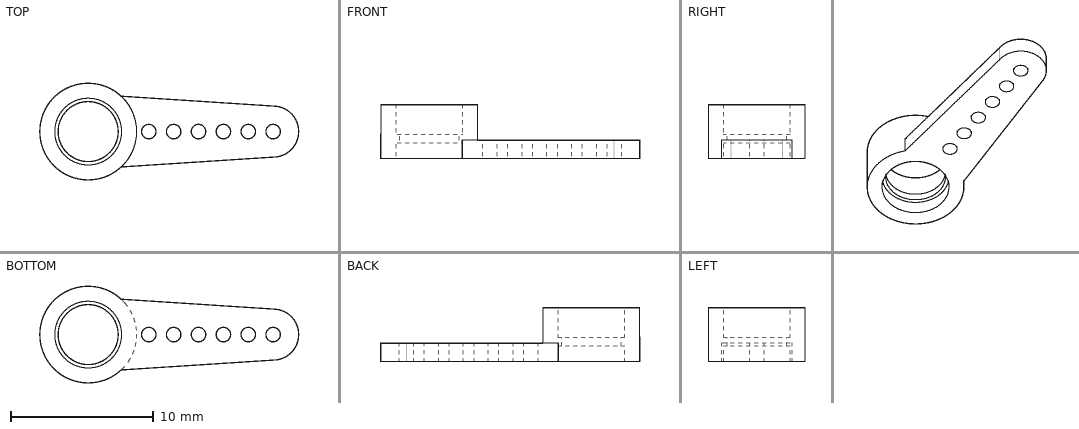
import cadquery as cq

hub_diameter = 6.8
hub_height = 3.8
bore_diameter = 4.2
counterbore_diameter = 4.7
top_counterbore_depth = 2.1
web_thickness = 0.6

overall_length = 18.2
arm_thickness = 1.31
tip_radius = 1.8
root_x = 2.33
root_half_width = 2.5

hole_count = 6
hole_diameter = 1.0
hole_pitch = 1.75

tip_end_x = overall_length - hub_diameter / 2
tip_center_x = tip_end_x - tip_radius


def make_cylinder(diameter, bottom_z, height):
    return cq.Workplane("XY").workplane(offset=bottom_z).circle(diameter / 2).extrude(height)


def make_hub():
    return make_cylinder(hub_diameter, 0, hub_height)


def make_arm():
    return (
        cq.Workplane("XY")
        .moveTo(0, 0)
        .lineTo(root_x, -root_half_width)
        .lineTo(tip_center_x, -tip_radius)
        .threePointArc((tip_end_x, 0), (tip_center_x, tip_radius))
        .lineTo(root_x, root_half_width)
        .close()
        .extrude(arm_thickness)
    )


def make_bore():
    """Through bore opened up at both ends, leaving a thin ring-shaped web between."""
    web_top_z = hub_height - top_counterbore_depth
    through = make_cylinder(bore_diameter, 0, hub_height)
    top_counterbore = make_cylinder(counterbore_diameter, web_top_z, top_counterbore_depth)
    bottom_counterbore = make_cylinder(counterbore_diameter, 0, web_top_z - web_thickness)
    return through.union(top_counterbore).union(bottom_counterbore)


def make_linkage_holes():
    centers = [(tip_center_x - i * hole_pitch, 0) for i in range(hole_count)]
    return cq.Workplane("XY").pushPoints(centers).circle(hole_diameter / 2).extrude(arm_thickness)


result = make_hub().union(make_arm()).cut(make_bore()).cut(make_linkage_holes())